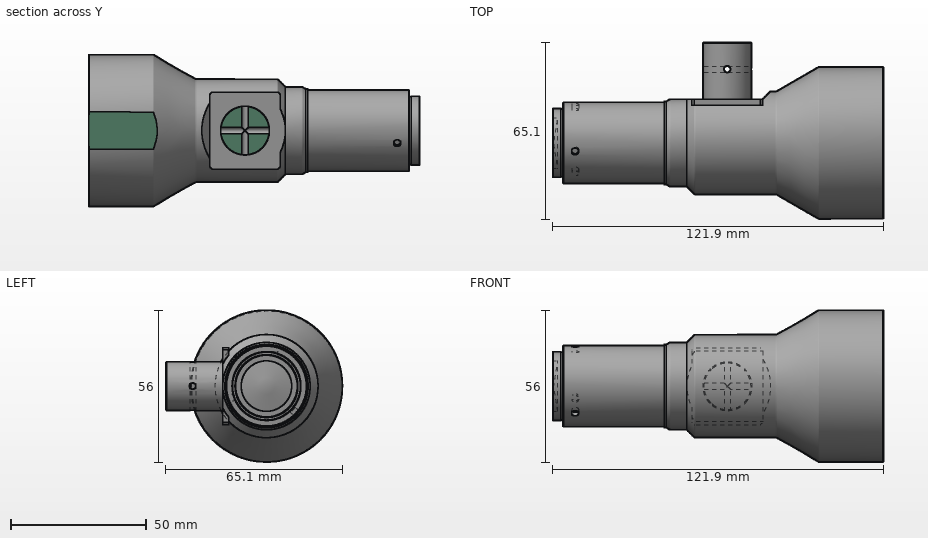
import cadquery as cq
import math

length = 121.9

nose_radius = 12.7
nose_end = 3.1
undercut_radius = 12.5
nose_chamfer = 0.2
undercut_end = 3.8

barrel_radius = 15.0
barrel_end = 41.2
barrel_chamfer = 0.3
ring_radius = 15.35
ring_end = 41.9
grip_radius = 16.1
grip_start = 43.2
grip_end = 49.4

body_radius = 19.0
body_end = 82.4
bell_radius = 28.0
bell_cone_angle = 30.0
bell_chamfer = 0.3
bell_fillet = 0.5
body_fillet = 0.7
grip_fillet = 0.8
neck_fillet = 1.2
body_start = grip_end + body_radius - grip_radius
bell_start = body_end + (bell_radius - body_radius) / math.tan(math.radians(bell_cone_angle))

lens_radius = 9.3
lens_rim_depth = 1.8
lens_apex_depth = 0.3
seat_radius = 11.6
seat_depth = 0.25

barrel_hole_x = 8.3
barrel_hole_diameter = 2.6
barrel_hole_depth = 2.0
barrel_hole_count = 3
barrel_hole_first_angle = 12.0

port_x = 64.3
flat_y = 16.1
plate_length = 26.0
plate_height = 28.4
plate_thickness = 2.2
plate_corner = 0.9
tube_radius = 9.0
tube_end_y = 37.1
tube_chamfer = 0.4
tube_hole_y = 27.15
tube_hole_diameter = 2.3


def make_barrel():
    """Revolve the half outline of the whole barrel about the X axis."""
    outline = [
        (0, 0),
        (0, nose_radius - nose_chamfer),
        (nose_chamfer, nose_radius),
        (nose_end, nose_radius),
        (nose_end, undercut_radius),
        (undercut_end, undercut_radius),
        (undercut_end, barrel_radius - barrel_chamfer),
        (undercut_end + barrel_chamfer, barrel_radius),
        (barrel_end, barrel_radius),
        (barrel_end, ring_radius),
        (ring_end, ring_radius),
        (grip_start, grip_radius),
        (grip_end, grip_radius),
        (body_start, body_radius),
        (body_end, body_radius),
        (bell_start, bell_radius),
        (length - bell_chamfer, bell_radius),
        (length, bell_radius - bell_chamfer),
        (length, 0),
    ]
    barrel = cq.Workplane("XY").polyline(outline).close().revolve(360, (0, 0, 0), (1, 0, 0))
    selection_margin = 0.1
    rounded_corners = (
        (grip_start, grip_fillet),
        (body_start, body_fillet),
        (body_end, neck_fillet),
        (bell_start, bell_fillet),
    )
    for x, radius in rounded_corners:
        corner = cq.selectors.BoxSelector(
            (x - selection_margin, -bell_radius, -bell_radius),
            (x + selection_margin, bell_radius, bell_radius),
        )
        barrel = barrel.edges("%CIRCLE").edges(corner).fillet(radius)
    return barrel


def make_lens_recess():
    """Void in front of the conical rear lens face, including its shallow chamfered seat."""
    outline = [
        (0, 0),
        (lens_apex_depth, 0),
        (lens_rim_depth, lens_radius),
        (seat_depth, lens_radius),
        (seat_depth, seat_radius - seat_depth),
        (0, seat_radius),
    ]
    return cq.Workplane("XY").polyline(outline).close().revolve(360, (0, 0, 0), (1, 0, 0))


def make_barrel_holes():
    """Blind radial holes; angles run from +Z toward -Y."""
    holes = cq.Workplane("XY")
    for index in range(barrel_hole_count):
        angle = barrel_hole_first_angle + index * 360 / barrel_hole_count
        hole = (
            cq.Workplane("XY")
            .workplane(offset=barrel_radius - barrel_hole_depth)
            .center(barrel_hole_x, 0)
            .circle(barrel_hole_diameter / 2)
            .extrude(2 * barrel_hole_depth)
            .rotate((0, 0, 0), (1, 0, 0), angle)
        )
        holes = holes.add(hole)
    return holes.combine()


def make_flat_cut():
    """Wedge that flattens the +Y side of the body and ramps out at 45 degrees."""
    clearance = 1.0
    flat_start = grip_end
    flat_end = port_x + plate_length / 2
    rise = body_radius - flat_y + clearance
    return (
        cq.Workplane("XY")
        .polyline([
            (flat_start, flat_y),
            (flat_end, flat_y),
            (flat_end + rise, flat_y + rise),
            (flat_start, flat_y + rise),
        ])
        .close()
        .extrude(body_radius, both=True)
    )


def make_side_port():
    """Mounting plate and tube standing on the flat, with crossed through holes in the tube."""
    plate = (
        cq.Workplane("XY")
        .box(plate_length, plate_thickness, plate_height)
        .edges("|Y")
        .chamfer(plate_corner)
        .translate((port_x, flat_y - plate_thickness / 2, 0))
    )
    tube = (
        cq.Workplane("XZ", origin=(port_x, flat_y - plate_thickness, 0))
        .circle(tube_radius)
        .extrude(-(tube_end_y - flat_y + plate_thickness))
        .faces(">Y")
        .chamfer(tube_chamfer)
    )
    port = plate.union(tube)
    for plane in ("XY", "YZ"):
        hole = (
            cq.Workplane(plane, origin=(port_x, tube_hole_y, 0))
            .circle(tube_hole_diameter / 2)
            .extrude(2 * tube_radius, both=True)
        )
        port = port.cut(hole)
    return port


barrel = make_barrel().cut(make_lens_recess()).cut(make_barrel_holes())
result = barrel.cut(make_flat_cut()).union(make_side_port())